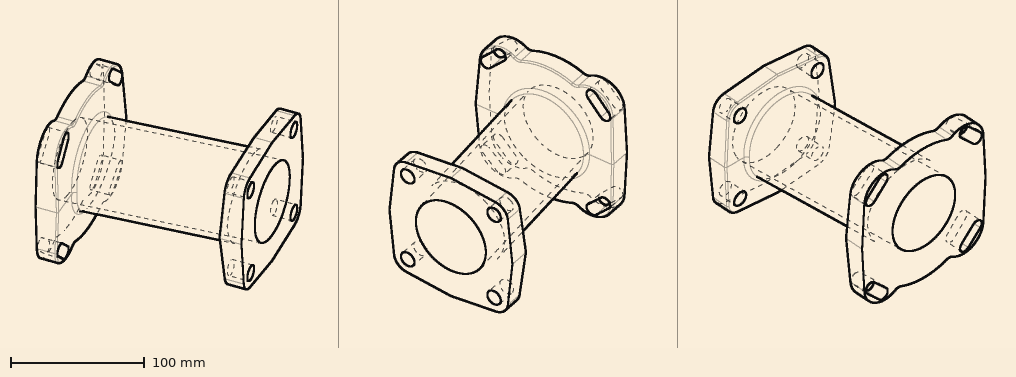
import cadquery as cq
import math

length = 158.8
pipe_offset = 14.8
pipe_radius = 36.5
bore_radius = 31.9
pipe_fillet = 3.2

ridge_thickness = 18.4
roof_slope = 3.1
edge_fillet = 1.3
blank_size = 158.8
margin = 1.6

disc_diameter = 123.7
near_peak = 63.2
lobe_offset = 40.3
lobe_radius = 20.6
lobe_blend = 6.4
slot_offset = 48.1
slot_spacing = 17.3
slot_width = 10.0

far_peak = 56.4
corner_offset = 39.5
corner_radius = 12.7
hole_radius = 6.2

corner_signs = [(1, 1), (-1, 1), (-1, -1), (1, -1)]


def tangent_point(peak, offset, radius):
    """Point where a line from (peak, 0) touches the corner arc."""
    toward_peak = peak - offset
    distance = math.hypot(toward_peak, offset)
    angle = math.atan2(-offset, toward_peak) + math.acos(radius / distance)
    return offset + radius * math.cos(angle), offset + radius * math.sin(angle)


def roof_blank():
    """Flange envelope on the YZ plane, thickest at z = 0."""
    half = blank_size / 2
    edge_thickness = ridge_thickness - half * math.tan(math.radians(roof_slope))
    profile = [(0, -half), (edge_thickness, -half), (ridge_thickness, 0), (edge_thickness, half), (0, half)]
    return cq.Workplane("XZ").polyline(profile).close().extrude(half, both=True)


def round_back_edges(flange):
    """Round the outer edges of the sloping back faces."""
    ridge = cq.selectors.BoxSelector(
        (ridge_thickness - margin, -margin, -margin), (ridge_thickness + margin, margin, margin)
    )
    along_thickness = cq.selectors.ParallelDirSelector(cq.Vector(1, 0, 0))
    back_edges = flange.edges("not(<X)").edges(cq.selectors.InverseSelector(along_thickness))
    return back_edges.edges(cq.selectors.InverseSelector(ridge)).fillet(edge_fillet)


def near_flange():
    side_y, side_z = tangent_point(near_peak, lobe_offset, lobe_radius)
    sides = [
        (near_peak, 0), (side_y, side_z), (lobe_offset, lobe_offset),
        (-lobe_offset, lobe_offset), (-side_y, side_z), (-near_peak, 0),
        (-side_y, -side_z), (-lobe_offset, -lobe_offset),
        (lobe_offset, -lobe_offset), (side_y, -side_z),
    ]
    lobes = [(y * lobe_offset, z * lobe_offset) for y, z in corner_signs]
    disc = cq.Workplane("YZ").circle(disc_diameter / 2).extrude(blank_size)
    disc = disc.intersect(cq.Workplane("YZ").rect(2 * lobe_offset, blank_size).extrude(blank_size))
    plate = cq.Workplane("YZ").polyline(sides).close().extrude(blank_size)
    plate = plate.union(disc)
    for lobe in lobes:
        plate = plate.union(cq.Workplane("YZ").center(*lobe).circle(lobe_radius).extrude(blank_size))
    plate = plate.clean()
    notch = cq.selectors.BoxSelector(
        (0, -lobe_offset + margin, -blank_size), (blank_size, lobe_offset - margin, blank_size)
    )
    plate = plate.edges("|X").edges(notch).fillet(lobe_blend)
    flange = round_back_edges(plate.intersect(roof_blank()))
    for y, z in corner_signs:
        slot = (
            cq.Workplane("YZ").center(y * slot_offset, z * slot_offset)
            .slot2D(slot_spacing + slot_width, slot_width, -45 * y * z).extrude(ridge_thickness)
        )
        flange = flange.cut(slot)
    return flange


def far_flange():
    side_y, side_z = tangent_point(far_peak, corner_offset, corner_radius)
    middle = corner_offset + corner_radius / math.sqrt(2)
    outline = cq.Workplane("YZ").moveTo(far_peak, 0)
    peaks = [(0, far_peak), (-far_peak, 0), (0, -far_peak), (far_peak, 0)]
    for (y, z), peak in zip(corner_signs, peaks):
        ends = [(y * side_y, z * side_z), (y * side_z, z * side_y)]
        if y * z < 0:
            ends.reverse()
        outline = outline.lineTo(*ends[0]).threePointArc((y * middle, z * middle), ends[1]).lineTo(*peak)
    plate = outline.close().extrude(blank_size)
    flange = round_back_edges(plate.intersect(roof_blank()))
    centres = [(y * corner_offset, z * corner_offset) for y, z in corner_signs]
    holes = cq.Workplane("YZ").pushPoints(centres).circle(hole_radius).extrude(ridge_thickness)
    flange = flange.cut(holes)
    return flange.mirror("YZ").translate((length, pipe_offset, 0))


def skewed_cylinder(radius, start, end):
    """Cylinder whose end centres lie on the pipe axis at x = start and x = end."""
    slope = pipe_offset / length
    axis = cq.Vector(1, slope, 0)
    base = cq.Vector(start, start * slope, 0)
    height = (end - start) * axis.Length
    return cq.Workplane(obj=cq.Solid.makeCylinder(radius, height, base, axis))


pipe_inset = ridge_thickness / 2
pipe = skewed_cylinder(pipe_radius, pipe_inset, length - pipe_inset)
body = near_flange().union(pipe).union(far_flange())

upper_space = cq.Workplane("XY").box(
    2 * length, 2 * length, length, centered=(True, True, False)
).translate((length / 2, 0, 0))
upper_half = body.intersect(upper_space)
seam_zone = cq.selectors.BoxSelector(
    (pipe_inset, -pipe_radius, pipe_radius / 4),
    (length - pipe_inset, pipe_radius + pipe_offset, pipe_radius - margin),
)
upper_half = upper_half.edges(seam_zone).fillet(pipe_fillet)
body = upper_half.union(upper_half.mirror("XY")).clean()

result = body.cut(skewed_cylinder(bore_radius, -pipe_radius, length + pipe_radius))